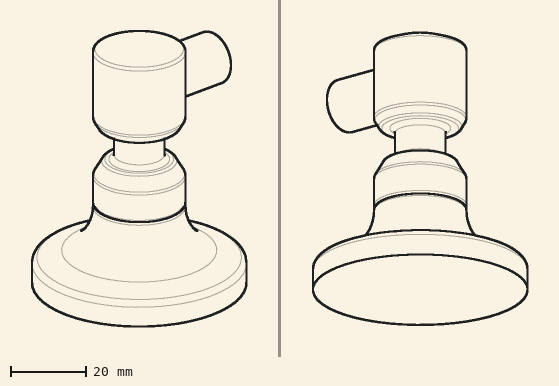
import cadquery as cq
import math

base_radius = 28.55
base_side_height = 7.1
base_edge_fillet = 1.7
flare_radius = 14.0
flare_end_radius = 20.6

groove_height = 22.95
groove_half_width = 0.7
groove_depth = 0.4

body_radius = 12.3
shoulder_angle = math.radians(60)
collar_side_top = 31.5
collar_top = 36.0
neck_radius = 6.7
head_bottom = 45.4
head_side_bottom = 48.1
head_side_top = 67.8
total_height = 70.9
side_fillet = 1.5
neck_fillet = 1.35
end_edge_fillet = 1.0
dome_edge_fillet = 1.0

spout_height = 57.6
spout_radius = 7.2
spout_reach = 26.8
spout_edge_fillet = 0.65


def shoulder_radius(rise):
    """Radius reached by a conical shoulder after the given axial rise."""
    return body_radius - rise / math.tan(shoulder_angle)


def profile():
    """Half section in (radius, height), with sharp corners."""
    collar_top_radius = shoulder_radius(collar_top - collar_side_top)
    head_bottom_radius = shoulder_radius(head_side_bottom - head_bottom)
    groove_bottom = groove_height - groove_half_width
    groove_top = groove_height + groove_half_width
    groove_radius = body_radius - groove_depth

    flare_centre_radius = body_radius + flare_radius
    flare_end_angle = math.acos((flare_centre_radius - flare_end_radius) / flare_radius)
    flare_end_height = groove_bottom - flare_radius * math.sin(flare_end_angle)
    flare_middle = (
        flare_centre_radius - flare_radius * math.cos(flare_end_angle / 2),
        groove_bottom - flare_radius * math.sin(flare_end_angle / 2),
    )

    dome_rise = total_height - head_side_top
    dome_radius = (body_radius**2 + dome_rise**2) / (2 * dome_rise)
    dome_middle_angle = math.asin(body_radius / dome_radius) / 2
    dome_middle = (
        dome_radius * math.sin(dome_middle_angle),
        total_height - dome_radius * (1 - math.cos(dome_middle_angle)),
    )

    lip_middle_radius = body_radius - groove_depth * (1 - math.sqrt(0.5))
    lip_middle_offset = groove_half_width * (1 - math.sqrt(0.5))

    return (
        cq.Workplane("XZ")
        .moveTo(body_radius, groove_bottom)
        .threePointArc(flare_middle, (flare_end_radius, flare_end_height))
        .tangentArcPoint((base_radius, base_side_height), relative=False)
        .lineTo(base_radius, 0)
        .lineTo(0, 0)
        .lineTo(0, total_height)
        .threePointArc(dome_middle, (body_radius, head_side_top))
        .lineTo(body_radius, head_side_bottom)
        .lineTo(head_bottom_radius, head_bottom)
        .lineTo(neck_radius, head_bottom)
        .lineTo(neck_radius, collar_top)
        .lineTo(collar_top_radius, collar_top)
        .lineTo(body_radius, collar_side_top)
        .lineTo(body_radius, groove_top)
        .threePointArc(
            (lip_middle_radius, groove_height + lip_middle_offset), (groove_radius, groove_height)
        )
        .threePointArc(
            (lip_middle_radius, groove_height - lip_middle_offset), (body_radius, groove_bottom)
        )
        .close()
    )


def round_edge(body, edge_radius, height, fillet_radius):
    """Fillet the circular edge with the given radius and height."""
    tolerance = 0.01
    reach = edge_radius + tolerance
    inner_reach = edge_radius - tolerance
    outer_box = cq.selectors.BoxSelector(
        (-reach, -reach, height - tolerance), (reach, reach, height + tolerance), boundingbox=True
    )
    inner_box = cq.selectors.BoxSelector(
        (-inner_reach, -inner_reach, height - tolerance),
        (inner_reach, inner_reach, height + tolerance),
        boundingbox=True,
    )
    return body.edges(outer_box - inner_box).fillet(fillet_radius)


def turned_body():
    body = profile().revolve(360, (0, 0), (0, 1))
    collar_top_radius = shoulder_radius(collar_top - collar_side_top)
    head_bottom_radius = shoulder_radius(head_side_bottom - head_bottom)
    rounded_edges = (
        (base_radius, base_side_height, base_edge_fillet),
        (body_radius, head_side_top, dome_edge_fillet),
        (body_radius, collar_side_top, side_fillet),
        (body_radius, head_side_bottom, side_fillet),
        (collar_top_radius, collar_top, end_edge_fillet),
        (head_bottom_radius, head_bottom, end_edge_fillet),
        (neck_radius, collar_top, neck_fillet),
        (neck_radius, head_bottom, neck_fillet),
    )
    for edge_radius, height, fillet_radius in rounded_edges:
        body = round_edge(body, edge_radius, height, fillet_radius)
    return body


def spout():
    return (
        cq.Workplane("XZ", origin=(0, 0, spout_height))
        .circle(spout_radius)
        .extrude(-spout_reach)
        .faces(">Y")
        .edges()
        .fillet(spout_edge_fillet)
    )


result = turned_body().union(spout())